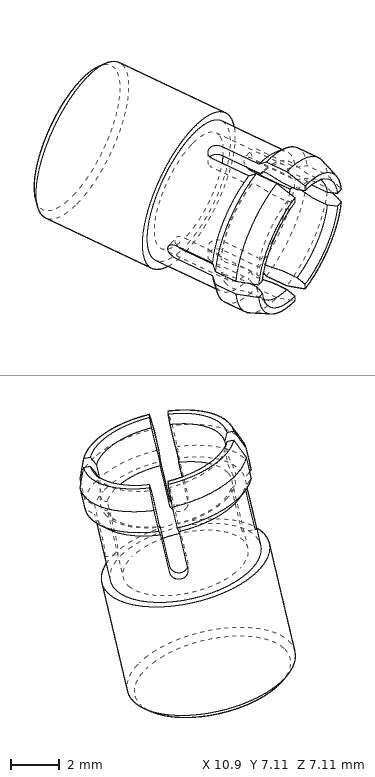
import cadquery as cq

length = 10.92
head_radius = 7.11 / 2
head_length = 5.47
head_chamfer = 0.26

neck_radius = 3.19
bulb_radius = 3.53
bulb_start = 8.66
bulb_full_start = 9.02
bulb_full_end = 10.02

bore_radius = 2.64
bore_floor = head_length

mouth_radius = 2.73
mouth_flare_length = 0.39
mouth_flare_depth = 0.17
undercut_radius = 2.86
undercut_start = 8.76
undercut_end = 9.09
undercut_fillet = undercut_radius - bore_radius
mouth_start = 9.83

slot_width = 0.78
slot_end = 6.48


def make_body():
    """Solid outside shape: chamfered head, neck and snap bulb."""
    return (
        cq.Workplane("XY")
        .lineTo(0, head_radius - head_chamfer)
        .lineTo(head_chamfer, head_radius)
        .lineTo(head_length, head_radius)
        .lineTo(head_length, neck_radius)
        .lineTo(bulb_start, neck_radius)
        .lineTo(bulb_full_start, bulb_radius)
        .lineTo(bulb_full_end, bulb_radius)
        .lineTo(length, neck_radius)
        .lineTo(length, 0)
        .close()
        .revolve(360, (0, 0, 0), (1, 0, 0))
    )


def make_bore():
    """Hollow inside: straight bore, undercut, narrower mouth and mouth flare."""
    return (
        cq.Workplane("XY")
        .moveTo(bore_floor, 0)
        .lineTo(bore_floor, bore_radius)
        .lineTo(undercut_start, bore_radius)
        .radiusArc((undercut_start + undercut_fillet, undercut_radius), undercut_fillet)
        .lineTo(undercut_end, undercut_radius)
        .lineTo(mouth_start, mouth_radius)
        .lineTo(length - mouth_flare_length, mouth_radius)
        .lineTo(length, mouth_radius + mouth_flare_depth)
        .lineTo(length, 0)
        .close()
        .revolve(360, (0, 0, 0), (1, 0, 0))
    )


def make_slot(plane):
    """Slot across the full width, with a round inner end and an open outer end."""
    round_centre = slot_end + slot_width / 2
    straight = (
        cq.Workplane(plane)
        .center((round_centre + length) / 2, 0)
        .rect(length - round_centre, slot_width)
        .extrude(head_radius, both=True)
    )
    round_end = (
        cq.Workplane(plane)
        .center(round_centre, 0)
        .circle(slot_width / 2)
        .extrude(head_radius, both=True)
    )
    return straight.union(round_end)


result = make_body().cut(make_bore())
for slot_plane in ("XY", "XZ"):
    result = result.cut(make_slot(slot_plane))